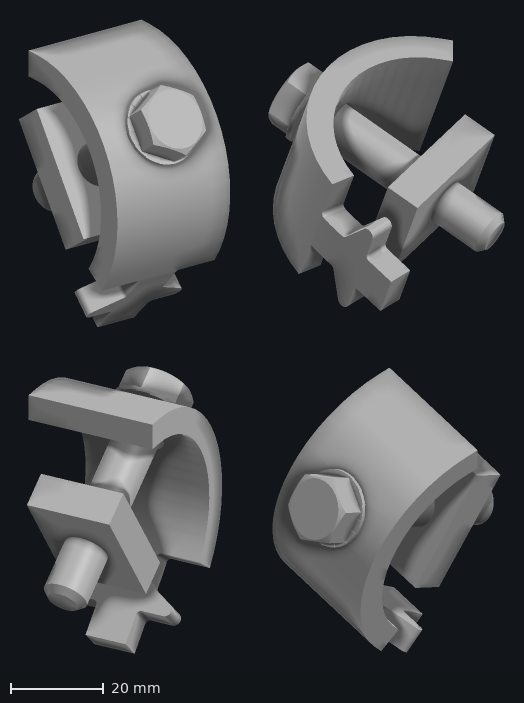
import cadquery as cq
import math

overall_height = 63.1
bracket_width = 30.0
outer_radius = 29.5
wall = 6.0
inner_radius = outer_radius - wall
lip_length = 3.0
lip_angle = 90.0
shoulder_angle = -36.4
leg_angle = -45.0

stem_width = 9.7
leg_drop = overall_height - outer_radius * (1 + math.sin(math.radians(-leg_angle)))
leg_length = leg_drop / math.cos(math.radians(leg_angle))
arm_span = 25.05
arm_bottom = 9.9
arm_slant = 30.0
arm_tip_radius = 1.5
corner_radius = 1.0

bolt_angle = 34.8
shank_diameter = 10.0
shank_radius = shank_diameter / 2
shank_end = -19.5
end_chamfer = 1.5
slot_width = 10.5
slot_length = 12.0

head_bottom = 30.6
head_height = 6.0
head_flats = 14.0
head_corners = head_flats / math.cos(math.radians(30))
head_face_diameter = 13.3
head_bevel = 30.0

collar_diameter = 16.9
collar_radius = collar_diameter / 2
collar_thickness = 0.95
tooth_count = 16
tooth_pitch = 360 / tooth_count
tooth_tilt = 3.0
first_tooth_angle = -83.8

plate_length = 30.0
plate_width = 20.0
plate_thickness = 8.0
plate_center = -2.0


def on_bolt_axis(body):
    """Turn a body built along Z onto the bolt axis."""
    return body.rotate((0, 0, 0), (0, 1, 0), 90 - bolt_angle)


def arc_point(radius, angle):
    """X and Z of a point at an angle about the Y axis."""
    return radius * math.cos(math.radians(angle)), radius * math.sin(math.radians(angle))


def curved_wall(start, end, width):
    """Stretch of the bent wall between two angles, centred on Y = 0."""
    middle = (start + end) / 2
    return (
        cq.Workplane("XZ")
        .moveTo(*arc_point(outer_radius, start))
        .threePointArc(arc_point(outer_radius, middle), arc_point(outer_radius, end))
        .lineTo(*arc_point(inner_radius, end))
        .threePointArc(arc_point(inner_radius, middle), arc_point(inner_radius, start))
        .close()
        .extrude(width / 2, both=True)
    )


def make_leg():
    """Straight leg, drawn flat with X along it and then set against the end of the arc."""
    half_stem = stem_width / 2
    slant = math.radians(arm_slant)

    tip_along = arm_bottom - arm_tip_radius
    tip_across = arm_span / 2 - arm_tip_radius
    slant_end_along = tip_along - arm_tip_radius * math.cos(slant)
    slant_end_across = tip_across + arm_tip_radius * math.sin(slant)
    arm_root = slant_end_along - (slant_end_across - half_stem) * math.tan(slant)

    half_leg = (
        cq.Workplane("XY")
        .lineTo(0, half_stem)
        .lineTo(arm_root, half_stem)
        .lineTo(slant_end_along, slant_end_across)
        .threePointArc((tip_along, arm_span / 2), (arm_bottom, tip_across))
        .lineTo(arm_bottom, half_stem)
        .lineTo(leg_length, half_stem)
        .lineTo(leg_length, 0)
        .close()
        .extrude(wall)
    )
    leg = half_leg.union(half_leg.mirror("XZ"))

    margin = corner_radius / 2
    stem_corners = cq.selectors.BoxSelector(
        (arm_root - margin, -half_stem - margin, 0),
        (arm_bottom + margin, half_stem + margin, wall),
    )
    leg = leg.edges("|Z").edges(stem_corners).fillet(corner_radius)

    start_x, start_z = arc_point(inner_radius, leg_angle)
    out_x, out_z = arc_point(1, leg_angle)
    seat = cq.Plane(origin=(start_x, 0, start_z), xDir=(out_z, 0, -out_x), normal=(out_x, 0, out_z))
    return cq.Workplane(leg.val().moved(cq.Location(seat)))


def make_bracket():
    lip = (
        cq.Workplane("XY", origin=(0, 0, inner_radius))
        .center(-lip_length / 2, 0)
        .rect(lip_length, bracket_width)
        .extrude(wall)
    )
    bracket = (
        curved_wall(lip_angle, shoulder_angle, bracket_width)
        .union(lip)
        .union(curved_wall(shoulder_angle, leg_angle, stem_width))
    )
    corner_x, corner_z = arc_point(outer_radius - wall / 2, shoulder_angle)
    for side in (-1, 1):
        shoulder_corner = (corner_x, side * stem_width / 2, corner_z)
        bracket = bracket.edges(cq.NearestToPointSelector(shoulder_corner)).fillet(corner_radius)

    bolt_slot = cq.Workplane("XY").slot2D(slot_length, slot_width, 90).extrude(head_bottom)
    return bracket.union(make_leg()).cut(on_bolt_axis(bolt_slot))


def make_head():
    """Hexagon head with its corners bevelled by a cone around the end face."""
    head = (
        cq.Workplane("XY", origin=(0, 0, head_bottom))
        .polygon(6, head_corners)
        .extrude(head_height)
    )
    face_radius = head_face_diameter / 2
    cone_radius = 3 * face_radius
    head_top = head_bottom + head_height
    cone_drop = (cone_radius - face_radius) * math.tan(math.radians(head_bevel))
    bevel_cone = (
        cq.Workplane("XZ")
        .moveTo(0, head_bottom)
        .lineTo(cone_radius, head_bottom)
        .lineTo(cone_radius, head_top - cone_drop)
        .lineTo(face_radius, head_top)
        .lineTo(0, head_top)
        .close()
        .revolve(360, (0, 0, 0), (0, 1, 0))
    )
    return head.intersect(bevel_cone)


def make_tooth():
    """One sector of the collar, tilted about its own radius."""
    half_pitch = math.radians(tooth_pitch / 2)
    reach = 2 * collar_radius
    middle = head_bottom - collar_thickness / 2
    blank_height = 4 * collar_thickness
    blank_base = cq.Workplane("XY", origin=(0, 0, middle - blank_height / 2))
    sector = (
        blank_base
        .polyline(
            [
                (0, 0),
                (reach * math.cos(half_pitch), -reach * math.sin(half_pitch)),
                (reach * math.cos(half_pitch), reach * math.sin(half_pitch)),
            ]
        )
        .close()
        .extrude(blank_height)
    )
    ring = blank_base.circle(collar_radius).circle(shank_radius).extrude(blank_height)
    tilted_slab = (
        cq.Workplane("XY")
        .box(2 * reach, 2 * reach, collar_thickness)
        .rotate((0, 0, 0), (1, 0, 0), tooth_tilt)
        .translate((0, 0, middle))
    )
    return ring.intersect(sector).intersect(tilted_slab)


def make_bolt():
    """Bolt with its toothed collar and the plate fixed on its shank."""
    bolt = (
        cq.Workplane("XY", origin=(0, 0, shank_end))
        .circle(shank_radius)
        .extrude(head_bottom - shank_end)
        .faces("<Z")
        .chamfer(end_chamfer)
        .union(make_head())
    )
    plate = cq.Workplane("XY", origin=(0, 0, plate_center)).box(plate_length, plate_width, plate_thickness)
    bolt = bolt.union(plate)

    tooth = make_tooth()
    for index in range(tooth_count):
        turn = first_tooth_angle + index * tooth_pitch
        bolt = bolt.union(tooth.rotate((0, 0, 0), (0, 0, 1), turn), clean=False)
    return on_bolt_axis(bolt)


bracket = make_bracket()
bolt = make_bolt()
result = cq.Compound.makeCompound([bracket.solids().val(), bolt.solids().val()])